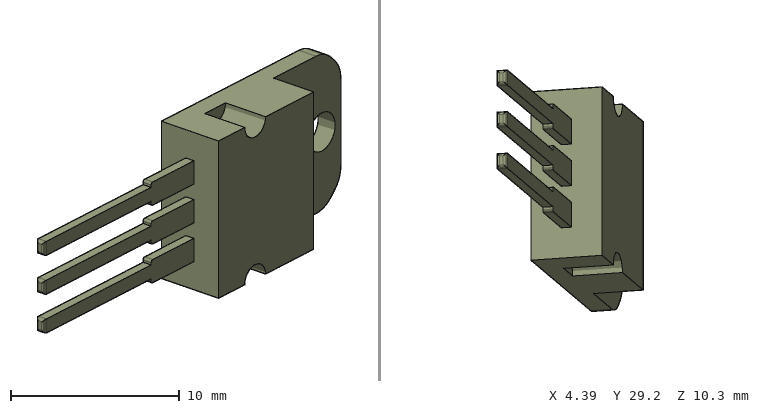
import cadquery as cq


package_width = 10.3
package_thickness = 4.39
body_length = 8.9
tab_thickness = 1.32
tab_extension = 6.3
package_length = body_length + tab_extension

corner_chamfer = 1.5
corner_blend_radius = 2.0
hole_diameter = 2.5
hole_edge_distance = 1.8

notch_radius = 0.97
notch_center_y = 3.43

lead_count = 3
lead_pitch = 2.54
lead_thickness = 0.62
lead_center_x = package_thickness / 2
shoulder_length = 4.0
shoulder_width = 1.52
pin_width = 0.92
lead_length = 14.0
shoulder_edge_radius = 0.15
tip_edge_radius = 0.2
lead_embed = 1.0


def block(x_start, x_end, y_start, y_end, width):
    """Box between the given X and Y limits, centred on Z = 0."""
    return (
        cq.Workplane("XY")
        .box(x_end - x_start, y_end - y_start, width, centered=(False, False, True))
        .translate((x_start, y_start, 0))
    )


def make_tab():
    """Metal plate with blended chamfers on its free end and a mounting hole."""
    plate = block(0, tab_thickness, 0, package_length, package_width)
    plate = plate.faces(">Y").edges("|X").chamfer(corner_chamfer)
    chamfer_edges = cq.selectors.BoxSelector(
        (-tab_thickness, body_length, -package_width),
        (2 * tab_thickness, package_length + corner_chamfer, package_width),
    )
    plate = plate.edges("|X").edges(chamfer_edges).fillet(corner_blend_radius)
    hole = (
        cq.Workplane("YZ")
        .center(package_length - hole_edge_distance, 0)
        .circle(hole_diameter / 2)
        .extrude(tab_thickness)
    )
    return plate.cut(hole)


def make_body():
    """Moulded block on the front of the tab, notched on both long sides."""
    body = block(tab_thickness, package_thickness, 0, body_length, package_width)
    notches = (
        cq.Workplane("YZ", origin=(tab_thickness, 0, 0))
        .pushPoints([(notch_center_y, side * package_width / 2) for side in (-1, 1)])
        .circle(notch_radius)
        .extrude(package_thickness - tab_thickness)
    )
    return body.cut(notches)


def make_lead(center_z):
    """Stepped lead with rounded shoulder corners and a rounded tip."""
    x_start = lead_center_x - lead_thickness / 2
    x_end = lead_center_x + lead_thickness / 2
    shoulder = block(x_start, x_end, -shoulder_length, lead_embed, shoulder_width)
    shoulder = shoulder.faces("<Y").edges("|X").fillet(shoulder_edge_radius)
    pin = block(x_start, x_end, -lead_length, 0, pin_width)
    pin = pin.faces("<Y").edges().fillet(tip_edge_radius)
    return shoulder.union(pin).translate((0, 0, center_z))


result = make_tab().union(make_body())
for index in range(lead_count):
    lead_z = (index - (lead_count - 1) / 2) * lead_pitch
    result = result.union(make_lead(lead_z))